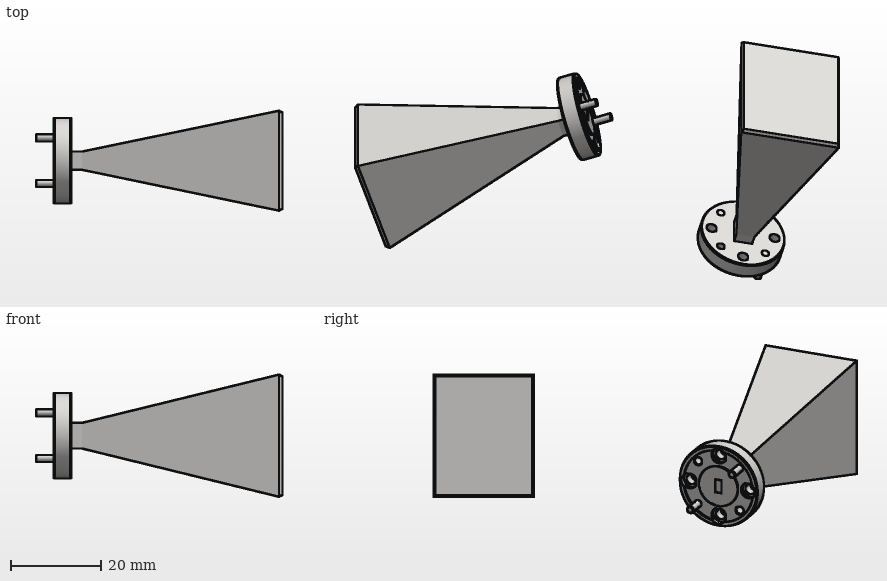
import cadquery as cq
import math

TOTAL_LENGTH = 54.65
PIN_PROJECTION = 3.9

FLANGE_DIAMETER = 19.0
FLANGE_THICKNESS = 4.05
FLANGE_CHAMFER_AXIAL = 0.35
FLANGE_CHAMFER_RADIAL = 0.15
RECESS_OUTER_DIAMETER = 16.9
BOSS_DIAMETER = 9.4
RECESS_DEPTH = 0.4

PITCH_RADIUS = 7.15
SCREW_HOLE_DIAMETER = 2.3
COUNTERBORE_DIAMETER = 3.55
COUNTERBORE_DEPTH = 1.35
DOWEL_HOLE_DIAMETER = 1.7
DOWEL_HOLE_CHAMFER = 0.15
PIN_DIAMETER = 1.65
PIN_TIP_CHAMFER = 0.15

TONGUE_SETBACK = 0.2
TONGUE_WIDTH = 1.55
TONGUE_HEIGHT = 2 * TONGUE_WIDTH
NECK_LENGTH = 2.3
NECK_WIDTH = 4.1
NECK_HEIGHT = 5.75
MOUTH_WIDTH = 22.2
MOUTH_HEIGHT = 27.1
RIM_LENGTH = 0.8
RIM_INSET = 0.45

NECK_END = FLANGE_THICKNESS + NECK_LENGTH
MOUTH_X = TOTAL_LENGTH - PIN_PROJECTION
RIM_START = MOUTH_X - RIM_LENGTH

SCREW_ANGLES = (0, 90, 180, 270)
OPEN_DOWEL_ANGLES = (45, 225)
PIN_ANGLES = (135, 315)


def cross_section(x):
    """Workplane across the horn axis: local x is +Y, local y is +Z."""
    return cq.Workplane("YZ", origin=(x, 0, 0))


def pitch_points(angles):
    return [
        (PITCH_RADIUS * math.cos(math.radians(a)), PITCH_RADIUS * math.sin(math.radians(a)))
        for a in angles
    ]


def drill(angles, diameter, start, depth):
    """Cylinders on the pitch circle, to be cut from the flange."""
    return cross_section(start).pushPoints(pitch_points(angles)).circle(diameter / 2).extrude(depth)


def make_flange():
    radius = FLANGE_DIAMETER / 2
    face_radius = radius - FLANGE_CHAMFER_RADIAL
    profile = [
        (0, 0),
        (0, face_radius),
        (FLANGE_CHAMFER_AXIAL, radius),
        (FLANGE_THICKNESS - FLANGE_CHAMFER_AXIAL, radius),
        (FLANGE_THICKNESS, face_radius),
        (FLANGE_THICKNESS, 0),
    ]
    flange = cq.Workplane("XY").polyline(profile).close().revolve(360, (0, 0, 0), (1, 0, 0))

    recess = (
        cross_section(0)
        .circle(RECESS_OUTER_DIAMETER / 2)
        .circle(BOSS_DIAMETER / 2)
        .extrude(RECESS_DEPTH)
    )
    flange = flange.cut(recess)

    flange = flange.cut(drill(SCREW_ANGLES, SCREW_HOLE_DIAMETER, 0, FLANGE_THICKNESS))
    flange = flange.cut(drill(SCREW_ANGLES, COUNTERBORE_DIAMETER, 0, COUNTERBORE_DEPTH))

    flange = flange.cut(drill(OPEN_DOWEL_ANGLES, DOWEL_HOLE_DIAMETER, 0, FLANGE_THICKNESS))
    mouth_radius = DOWEL_HOLE_DIAMETER / 2 + DOWEL_HOLE_CHAMFER
    for y, z in pitch_points(OPEN_DOWEL_ANGLES):
        countersink = cq.Solid.makeCone(
            mouth_radius,
            DOWEL_HOLE_DIAMETER / 2,
            DOWEL_HOLE_CHAMFER,
            cq.Vector(RECESS_DEPTH, y, z),
            cq.Vector(1, 0, 0),
        )
        flange = flange.cut(cq.Workplane(countersink))

    flange = flange.cut(drill(PIN_ANGLES, PIN_DIAMETER, 0, FLANGE_THICKNESS))
    slot = cross_section(0).rect(TONGUE_WIDTH, TONGUE_HEIGHT).extrude(FLANGE_THICKNESS)
    return flange.cut(slot)


def make_horn():
    tongue_length = FLANGE_THICKNESS - TONGUE_SETBACK
    tongue = cross_section(TONGUE_SETBACK).rect(TONGUE_WIDTH, TONGUE_HEIGHT).extrude(tongue_length)
    neck = cross_section(FLANGE_THICKNESS).rect(NECK_WIDTH, NECK_HEIGHT).extrude(NECK_LENGTH)
    flare = (
        cross_section(NECK_END)
        .rect(NECK_WIDTH, NECK_HEIGHT)
        .workplane(offset=RIM_START - NECK_END)
        .rect(MOUTH_WIDTH, MOUTH_HEIGHT)
        .loft(ruled=True)
    )
    rim = (
        cross_section(RIM_START)
        .rect(MOUTH_WIDTH, MOUTH_HEIGHT)
        .workplane(offset=RIM_LENGTH)
        .rect(MOUTH_WIDTH - 2 * RIM_INSET, MOUTH_HEIGHT - 2 * RIM_INSET)
        .loft(ruled=True)
    )
    return tongue.union(neck).union(flare).union(rim)


def make_pin(y, z):
    return (
        cross_section(-PIN_PROJECTION)
        .center(y, z)
        .circle(PIN_DIAMETER / 2)
        .extrude(PIN_PROJECTION + FLANGE_THICKNESS)
        .faces("<X")
        .chamfer(PIN_TIP_CHAMFER)
    )


flange = make_flange()
horn = make_horn()
pins = [make_pin(y, z) for y, z in pitch_points(PIN_ANGLES)]

result = cq.Compound.makeCompound([flange.val(), horn.val(), *[pin.val() for pin in pins]])